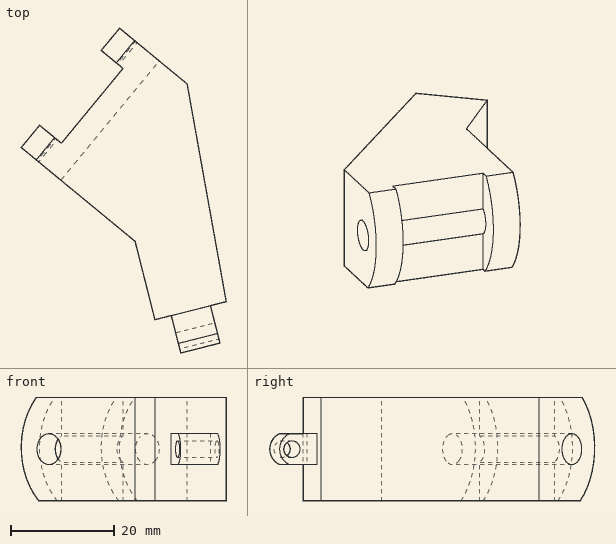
import cadquery as cq
import math

clevis_angle = 39.5
neck_angle = 14.2

height = 20.0
lower_wall_length = 28.6
upper_wall_length = 17.0
neck_length = 15.7
neck_width = 14.3

clevis_width = 30.0
lug_thickness = 5.6
slot_depth = 5.5
lug_tip_radius = 14.3
lug_tip_center_height = 0.3
trim_clearance = 0.6
pivot_diameter = 6.0
pivot_to_tip = 7.0

tongue_width = 7.9
tongue_inset = 3.3
tongue_height = 6.0
tongue_length = 7.5
tongue_tip_radius = 3.3
pin_diameter = 3.2
pin_to_tip = 2.45

clevis_rad = math.radians(clevis_angle)
neck_rad = math.radians(neck_angle)
clevis_out = cq.Vector(-math.cos(clevis_rad), math.sin(clevis_rad), 0)
clevis_across = cq.Vector(math.sin(clevis_rad), math.cos(clevis_rad), 0)
neck_out = cq.Vector(math.sin(neck_rad), -math.cos(neck_rad), 0)
neck_across = cq.Vector(math.cos(neck_rad), math.sin(neck_rad), 0)


def side_plane(origin, outward, across):
    """Upright plane with x running outward and extrusion running across."""
    return cq.Workplane(cq.Plane(origin=origin, xDir=outward, normal=across))


def make_body():
    """Bent plate from the clevis lugs to the end of the neck."""
    lower_tip = clevis_out * lower_wall_length
    upper_tip = lower_tip + clevis_across * clevis_width
    lower_slot_tip = lower_tip + clevis_across * lug_thickness
    upper_slot_tip = upper_tip - clevis_across * lug_thickness
    slot_offset = clevis_out * slot_depth
    neck_end = neck_out * neck_length
    corners = [
        cq.Vector(0, 0, 0),
        neck_end,
        neck_end + neck_across * neck_width,
        upper_tip - clevis_out * upper_wall_length,
        upper_tip,
        upper_slot_tip,
        upper_slot_tip - slot_offset,
        lower_slot_tip - slot_offset,
        lower_slot_tip,
        lower_tip,
    ]
    outline = [(corner.x, corner.y) for corner in corners]
    return cq.Workplane("XY").polyline(outline).close().extrude(height / 2, both=True)


def make_lug_tip_trim():
    """Material outside the rounded lug tips, across the whole clevis."""
    plane = side_plane(clevis_out * lower_wall_length, clevis_out, clevis_across)

    def tip_at(z):
        return math.sqrt(lug_tip_radius**2 - (z - lug_tip_center_height) ** 2) - lug_tip_radius

    half_height = height / 2
    return (
        plane.moveTo(tip_at(-half_height), -half_height)
        .threePointArc((0, lug_tip_center_height), (tip_at(half_height), half_height))
        .lineTo(trim_clearance, half_height)
        .lineTo(trim_clearance, -half_height)
        .close()
        .extrude(clevis_width)
    )


def make_pivot_hole():
    """Pivot bore through both lugs, also grooving the slot floor."""
    plane = side_plane(clevis_out * (lower_wall_length - pivot_to_tip), clevis_out, clevis_across)
    return plane.circle(pivot_diameter / 2).extrude(clevis_width)


def make_tongue():
    """Round-ended tongue on the neck end, with a cross pin hole."""
    start = neck_out * neck_length + neck_across * tongue_inset
    plane = side_plane(start, neck_out, neck_across)
    half_height = tongue_height / 2
    shoulder = tongue_length - tongue_tip_radius + math.sqrt(tongue_tip_radius**2 - half_height**2)
    return (
        plane.moveTo(0, -half_height)
        .lineTo(shoulder, -half_height)
        .threePointArc((tongue_length, 0), (shoulder, half_height))
        .lineTo(0, half_height)
        .close()
        .moveTo(tongue_length - pin_to_tip, 0)
        .circle(pin_diameter / 2)
        .extrude(tongue_width)
    )


result = make_body().cut(make_lug_tip_trim()).cut(make_pivot_hole()).union(make_tongue())